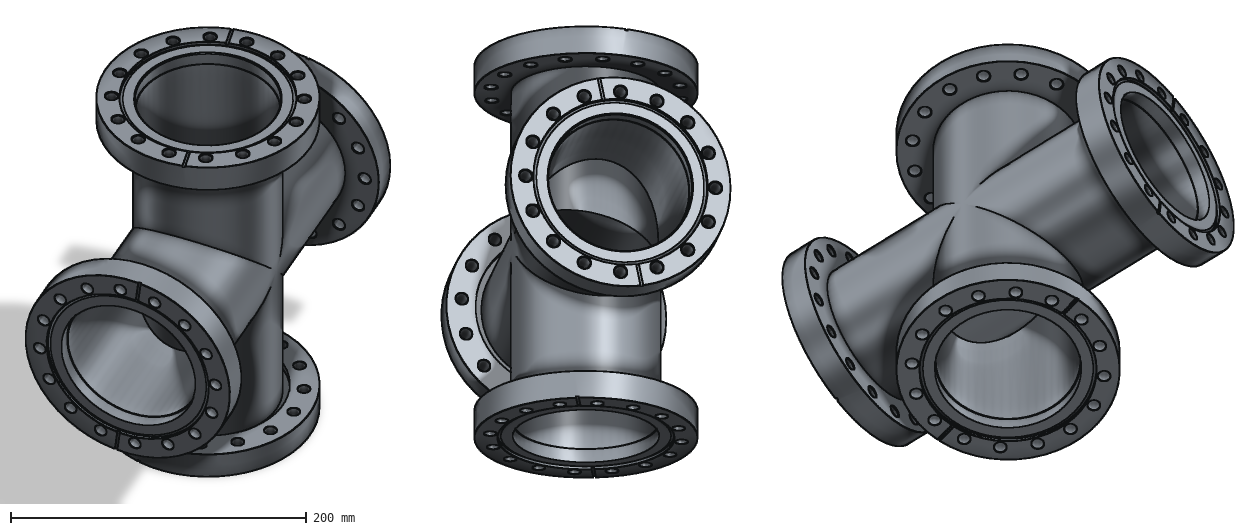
import cadquery as cq
import math


span = 269.8
face = span / 2
flange_diameter = 151.5
flange_thickness = 19.7
flange_back = face - flange_thickness

tube_diameter = 101.7
tube_wall = 2.0
tube_bore = tube_diameter - 2 * tube_wall
tube_inset = 10.8
tube_end = face - tube_inset

fixed_bore = 98.7
fixed_bore_chamfer = 0.8
collar_bore = 99.3
recess_diameter = 119.8
recess_depth = 2.5
knife_diameter = 115.5
knife_depth = 1.3

bolt_count = 16
bolt_pitch = 360 / bolt_count
bolt_circle = 130.5
bolt_hole = 8.4
fixed_hole_chamfer = 0.5
ring_hole_chamfer = 0.3
groove_width = 2.0
groove_depth = 1.0
edge_break = 0.3
first_bolt_angle = 90.0
groove_angle = first_bolt_angle + bolt_pitch / 2

ring_back_bore = 111.2
ring_lip = 4.9
ring_ledge = flange_back + ring_lip

TO_PLUS_Z = 0
TO_PLUS_Y = -90
TO_MINUS_Y = 90
TO_MINUS_Z = 180
fixed_arms = [TO_PLUS_Z, TO_PLUS_Y]
ring_spins = {TO_MINUS_Y: -17.8, TO_MINUS_Z: 3.2}


def cylinder(diameter, bottom, top):
    """Cylinder on the Z axis between two heights."""
    return cq.Workplane("XY").workplane(offset=bottom).circle(diameter / 2).extrude(top - bottom)


def revolve(outline):
    """Turn an outline of (radius, height) points about the Z axis."""
    return cq.Workplane("XZ").polyline(outline).close().revolve(360, (0, 0), (0, 1))


def onto_arm(body, turn):
    """Carry a body built on the +Z arm onto another arm."""
    return body.rotate((0, 0, 0), (1, 0, 0), turn)


def crossed(diameter):
    """Two full-length cylinders crossing at the centre, along Z and Y."""
    upright = cylinder(diameter, -tube_end, tube_end)
    return upright.union(onto_arm(upright, TO_PLUS_Y))


def drill_bolt_holes(body, chamfer):
    """Through holes on the bolt circle, chamfered at both ends."""
    radius = bolt_hole / 2
    outline = [
        (0, flange_back),
        (radius + chamfer, flange_back),
        (radius, flange_back + chamfer),
        (radius, face - chamfer),
        (radius + chamfer, face),
        (0, face),
    ]
    drill = revolve(outline)
    for index in range(bolt_count):
        angle = math.radians(first_bolt_angle + index * bolt_pitch)
        x = bolt_circle / 2 * math.cos(angle)
        y = bolt_circle / 2 * math.sin(angle)
        body = body.cut(drill.translate((x, y, 0)))
    return body


def make_blank(back_bore, shelf):
    """Chamfered flange disc, open to the recess diameter above the shelf and to a back bore below it."""
    outline = [
        (back_bore / 2, flange_back),
        (flange_diameter / 2 - edge_break, flange_back),
        (flange_diameter / 2, flange_back + edge_break),
        (flange_diameter / 2, face - edge_break),
        (flange_diameter / 2 - edge_break, face),
        (recess_diameter / 2 + edge_break, face),
        (recess_diameter / 2, face - edge_break),
        (recess_diameter / 2, shelf),
        (back_bore / 2, shelf),
    ]
    return revolve(outline)


def cut_leak_grooves(body):
    """Shallow groove across the face, on both sides of the recess."""
    groove = (
        cq.Workplane("XY")
        .workplane(offset=face - groove_depth)
        .rect(flange_diameter, groove_width)
        .extrude(groove_depth)
        .cut(cylinder(recess_diameter, face - groove_depth, face))
        .rotate((0, 0, 0), (0, 0, 1), groove_angle)
    )
    return body.cut(groove)


def make_fixed_flange():
    """One-piece flange: the sealing face fills the blank down to the tube socket."""
    recess_floor = face - recess_depth
    knife_tip = face - knife_depth
    blank = make_blank(tube_diameter, recess_floor)
    sealing_land = revolve([
        (fixed_bore / 2, tube_end),
        (recess_diameter / 2, tube_end),
        (recess_diameter / 2, recess_floor),
        (knife_diameter / 2, knife_tip),
        (fixed_bore / 2 + fixed_bore_chamfer, knife_tip),
        (fixed_bore / 2, knife_tip - fixed_bore_chamfer),
    ])
    return cut_leak_grooves(drill_bolt_holes(blank.union(sealing_land), fixed_hole_chamfer))


def make_collar():
    """Inner part of a rotatable flange: knife edge in front, tube socket behind."""
    return revolve([
        (tube_diameter / 2, ring_ledge),
        (recess_diameter / 2, ring_ledge),
        (recess_diameter / 2, face - recess_depth),
        (knife_diameter / 2, face - knife_depth),
        (collar_bore / 2, face - knife_depth),
        (collar_bore / 2, tube_end),
        (tube_diameter / 2, tube_end),
    ])


def make_ring(spin):
    """Outer part of a rotatable flange: bolt ring with a lip behind the collar."""
    ring = drill_bolt_holes(make_blank(ring_back_bore, ring_ledge), ring_hole_chamfer)
    return cut_leak_grooves(ring).rotate((0, 0, 0), (0, 0, 1), spin)


tube = crossed(tube_diameter).cut(crossed(tube_bore))
fixed_flanges = [onto_arm(make_fixed_flange(), turn) for turn in fixed_arms]
collars = [onto_arm(make_collar(), turn) for turn in ring_spins]
rings = [onto_arm(make_ring(spin), turn) for turn, spin in ring_spins.items()]

bodies = [tube, *fixed_flanges, *collars, *rings]
result = cq.Compound.makeCompound([body.val() for body in bodies])